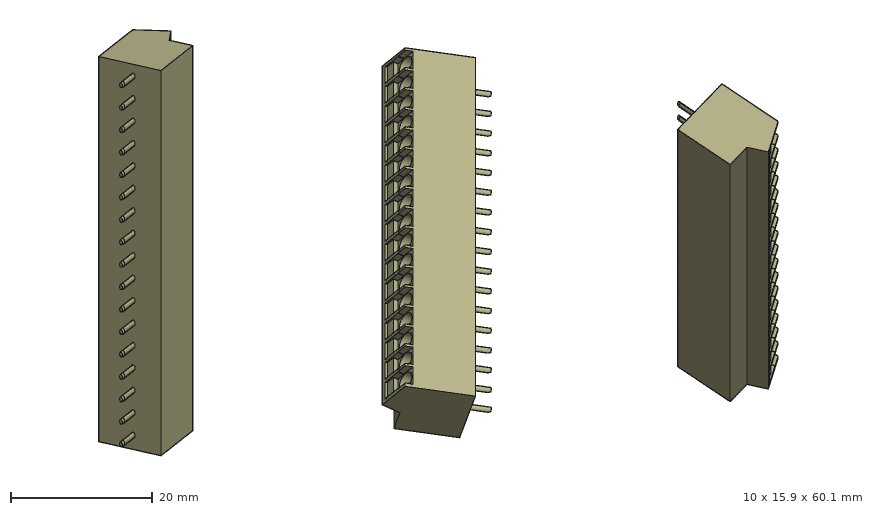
import cadquery as cq
import math

pole_count = 17
pitch = 3.5

housing_width = 10.0
housing_length = 60.1
wiring_side_height = 10.2
back_height = 9.55
peak_height = 12.4
slope_angle = 24.0
slope_tilt = math.radians(slope_angle)
peak_x = (peak_height - wiring_side_height) / math.tan(slope_tilt)
back_step_x = peak_x + (peak_height - back_height) * math.tan(slope_tilt)

pin_length = 3.5
pin_thickness = 0.6
pin_breadth = 1.0
pin_x = 5.55
first_pin_z = 2.25
pin_root = 0.5
pin_bevel_length = 0.4
pin_bevel_inset = 0.15

first_pocket_z = 2.125
pocket_depth = 1.03
actuator_width = 2.9
actuator_start = 0.63
shelf_depth = 0.25
shelf_start = actuator_start + shelf_depth
shelf_end = 2.3
entry_width = 3.06
entry_start = 3.7
open_run = 8.0
clearance = 1.0

hole_diameter = 2.9
hole_run = 4.15
hole_length = 7.0
contact_depth = 1.9
contact_angle = 12.5
contact_block_size = 12.0


def slope_plane(z):
    """Sketch plane at height z: local x runs down the slope from the peak, local y points out of it."""
    down_slope = (-math.cos(slope_tilt), -math.sin(slope_tilt), 0)
    return cq.Plane(origin=(peak_x, peak_height, z), xDir=down_slope, normal=(0, 0, -1))


def make_housing():
    outline = [
        (0, 0),
        (housing_width, 0),
        (housing_width, back_height),
        (back_step_x, back_height),
        (peak_x, peak_height),
        (0, wiring_side_height),
    ]
    return cq.Workplane("XY").polyline(outline).close().extrude(housing_length)


def make_pin(z):
    """Two-arc pin rooted in the housing, with the +X arc bevelled at its tip."""
    half_thickness = pin_thickness / 2
    half_breadth = pin_breadth / 2
    pin = (
        cq.Workplane("XZ", origin=(pin_x, pin_root, z))
        .moveTo(0, -half_breadth)
        .threePointArc((half_thickness, 0), (0, half_breadth))
        .threePointArc((-half_thickness, 0), (0, -half_breadth))
        .close()
        .extrude(pin_root + pin_length)
    )
    return pin.faces("<Y").edges(">X").chamfer(pin_bevel_length, pin_bevel_inset)


def make_actuator_slot(z):
    """Slot with a bevelled upper end and a shallow shelf, running out through the wiring side."""
    outline = [
        (actuator_start - clearance, clearance),
        (shelf_start, -shelf_depth),
        (shelf_end, -shelf_depth),
        (shelf_end, -pocket_depth),
        (open_run, -pocket_depth),
        (open_run, clearance),
    ]
    half_width = actuator_width / 2
    return cq.Workplane(slope_plane(z)).polyline(outline).close().extrude(half_width, both=True)


def make_entry_notch(z):
    """Slightly wider notch around the wire hole, open to the wiring side."""
    outline = [
        (entry_start, clearance),
        (entry_start, -pocket_depth),
        (open_run, -pocket_depth),
        (open_run, clearance),
    ]
    half_width = entry_width / 2
    return cq.Workplane(slope_plane(z)).polyline(outline).close().extrude(half_width, both=True)


def make_wire_hole(z):
    plane = slope_plane(z)
    radius = hole_diameter / 2
    start = plane.toWorldCoords((hole_run, -pocket_depth, 0))
    bore = cq.Solid.makeCylinder(radius, hole_length, start, -plane.yDir)
    contact_origin = plane.toWorldCoords((hole_run - radius, -contact_depth, 0))
    contact_tilt = math.radians(contact_angle)
    into_contact = (math.cos(contact_tilt), -math.sin(contact_tilt), 0)
    contact_plane = cq.Plane(origin=contact_origin, xDir=(0, 0, 1), normal=into_contact)
    contact = (
        cq.Workplane(contact_plane)
        .rect(contact_block_size, 2 * contact_block_size)
        .extrude(contact_block_size)
    )
    return cq.Workplane(bore).cut(contact)


def make_terminal_strip():
    strip = make_housing()
    for pole in range(pole_count):
        pocket_z = first_pocket_z + pole * pitch
        strip = strip.cut(make_actuator_slot(pocket_z))
        strip = strip.cut(make_entry_notch(pocket_z))
        strip = strip.cut(make_wire_hole(pocket_z))
        strip = strip.union(make_pin(first_pin_z + pole * pitch))
    return strip


result = make_terminal_strip()